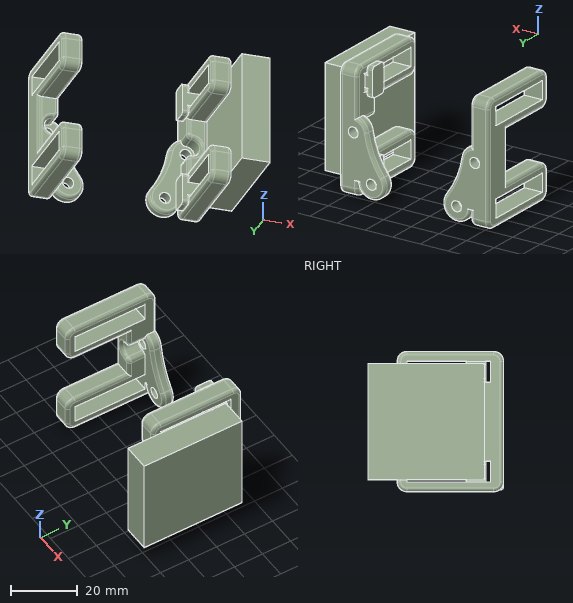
import cadquery as cq
import math


outer_face_x = 27.0
bracket_thickness = 6.55
inner_face_x = outer_face_x - bracket_thickness
slot_length = 25.0
slot_height = 6.2
slot_spacing = 30.0
arm_wall = 3.0
spine_wall = 4.0
spine_depth = 10.0
corner_radius = 3.0
frame_fillet = 1.1
arm_height = slot_height + 2 * arm_wall
bracket_height = slot_spacing + arm_height
bracket_depth = spine_wall + slot_length + arm_wall
mouth_height = slot_spacing - arm_height
slot_levels = (-slot_spacing / 2, slot_spacing / 2)

recess_radius = 2.75
recess_mouth_radius = 1.5
recess_half_mouth = recess_radius + recess_mouth_radius
recess_depth = 6.0

lug_thickness = spine_depth - recess_depth
lug_radius = 5.05
lug_fillet = 1.0
lug_hole_diameter = 3.5
lug_waist_radius = 30.0
lug_hole_drop = 15.5
upper_hole = (inner_face_x + recess_mouth_radius, 0.0)
lower_hole = (inner_face_x - lug_radius, -lug_hole_drop)
lug_root_x = inner_face_x + bracket_thickness / 2

block_size = 35.0
block_thickness = 9.0
block_back_y = -5.77

clip_width = 6.0
clip_back_y = -5.27
clip_head_height = 10.2
clip_head_thickness = 2.0
clip_corner_radius = 1.1
clip_taper_depth = 0.4
clip_taper_inset = 0.06
clip_stem_height = 4.2


def box_between(low, high):
    """Box with the given lowest and highest corners."""
    size = [b - a for a, b in zip(low, high)]
    return cq.Workplane("XY").box(*size, centered=False).translate(low)


def make_recess():
    """Notch with a semicircular bottom and a mouth that flares out to the inner face."""
    hole_x = upper_hole[0]
    return (
        cq.Workplane("XZ", origin=(0, -lug_thickness, 0))
        .moveTo(inner_face_x, recess_half_mouth)
        .radiusArc((hole_x, recess_radius), -recess_mouth_radius)
        .threePointArc((hole_x + recess_radius, 0), (hole_x, -recess_radius))
        .radiusArc((inner_face_x, -recess_half_mouth), -recess_mouth_radius)
        .close()
        .extrude(recess_depth)
    )


def make_frame():
    half_height = bracket_height / 2
    frame = box_between((inner_face_x, -bracket_depth, -half_height), (outer_face_x, 0, half_height))
    mouth = box_between(
        (inner_face_x, -bracket_depth, -mouth_height / 2), (outer_face_x, -spine_depth, mouth_height / 2)
    )
    frame = frame.cut(mouth)
    frame = frame.faces("<Y or >Y").edges("|X").fillet(corner_radius)
    frame = frame.cut(make_recess())

    margin = 1.0
    reach = recess_half_mouth + margin
    recess_walls = cq.selectors.BoxSelector(
        (inner_face_x - margin, -spine_depth + margin, -reach),
        (outer_face_x - margin, -lug_thickness + margin, reach),
    )
    recess_rim = cq.selectors.BoxSelector(
        (inner_face_x - margin, -spine_depth - margin, -reach),
        (outer_face_x - margin, -spine_depth + margin, reach),
    )
    wall_edges = frame.edges(recess_walls).vals()
    rounded = frame.faces("<X or >X").edges().add(frame.edges(recess_rim))
    rounded_edges = [edge for edge in rounded.vals() if edge not in wall_edges]
    frame = rounded.newObject(rounded_edges).fillet(frame_fillet)

    for level in slot_levels:
        slot = box_between(
            (inner_face_x, -spine_wall - slot_length, level - slot_height / 2),
            (outer_face_x, -spine_wall, level + slot_height / 2),
        )
        frame = frame.cut(slot)
    return frame


def toward(start, end, distance):
    """The point a given distance from start on the line to end."""
    share = distance / math.dist(start, end)
    return tuple(a + share * (b - a) for a, b in zip(start, end))


def make_lug():
    """Plate outline: upper end, hollow edge tangent to both ends, lower end, root in the spine."""
    waist_reach = lug_waist_radius + lug_radius
    half_span = math.dist(upper_hole, lower_hole) / 2
    middle = toward(upper_hole, lower_hole, half_span)
    run_x = lower_hole[0] - upper_hole[0]
    run_z = lower_hole[1] - upper_hole[1]
    across = (middle[0] + run_z, middle[1] - run_x)
    waist_center = toward(middle, across, math.sqrt(waist_reach**2 - half_span**2))

    upper_tangent = toward(upper_hole, waist_center, lug_radius)
    lower_tangent = toward(lower_hole, waist_center, lug_radius)
    upper_top = (upper_hole[0], upper_hole[1] + lug_radius)
    lower_bottom = (lower_hole[0], lower_hole[1] - lug_radius)
    lower_side = (lower_hole[0] + lug_radius, lower_hole[1])
    lug = (
        cq.Workplane("XZ")
        .moveTo(lug_root_x, upper_top[1])
        .lineTo(*upper_top)
        .radiusArc(upper_tangent, -lug_radius)
        .threePointArc(toward(waist_center, middle, lug_waist_radius), lower_tangent)
        .threePointArc(lower_bottom, lower_side)
        .lineTo(lug_root_x, lower_side[1])
        .close()
        .extrude(lug_thickness)
    )
    return lug.faces("<Y or >Y").edges("%CIRCLE").fillet(lug_fillet)


def make_bracket():
    """Frame and lug as one solid, drilled at both ends of the lug."""
    lug_holes = (
        cq.Workplane("XZ")
        .pushPoints([upper_hole, lower_hole])
        .circle(lug_hole_diameter / 2)
        .extrude(lug_thickness)
    )
    return make_frame().union(make_lug().cut(make_recess())).cut(lug_holes)


def make_block():
    return box_between(
        (outer_face_x, block_back_y - block_size, -block_size / 2),
        (outer_face_x + block_thickness, block_back_y, block_size / 2),
    )


def make_clip(level):
    center_y = clip_back_y - clip_width / 2
    head_x = inner_face_x - clip_head_thickness
    head = (
        cq.Workplane("YZ", origin=(head_x, center_y, level))
        .rect(clip_width, clip_head_height)
        .extrude(clip_head_thickness)
        .edges("|X")
        .fillet(clip_corner_radius)
        .faces(">X")
        .chamfer(clip_taper_depth, clip_taper_inset)
    )
    stem = (
        cq.Workplane("YZ", origin=(inner_face_x - clip_taper_depth, center_y, level))
        .rect(clip_width, clip_stem_height)
        .extrude(clip_taper_depth + bracket_thickness)
    )
    return head.union(stem)


right_bracket = make_bracket()
left_bracket = right_bracket.mirror("YZ")
block = make_block()
clips = [make_clip(level) for level in slot_levels]

result = cq.Compound.makeCompound(
    [left_bracket.val(), right_bracket.val(), block.val(), *[clip.val() for clip in clips]]
)